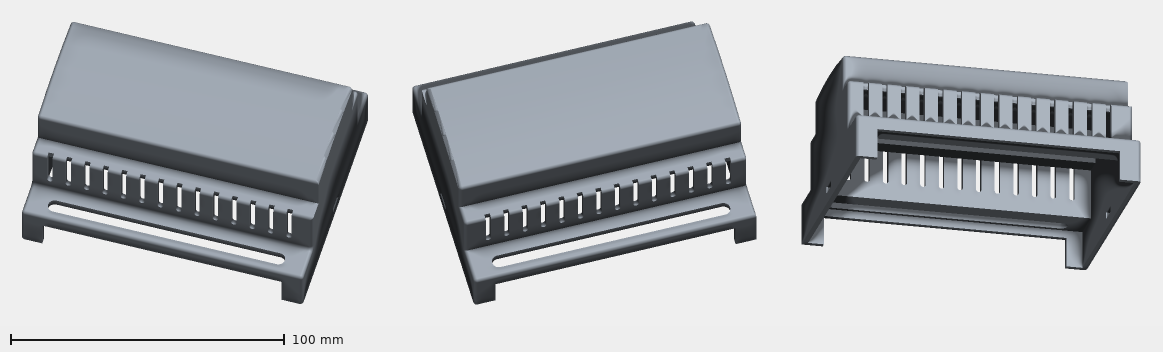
import cadquery as cq

LENGTH = 107.0
BASE_WIDTH = 87.0
MIDDLE_WIDTH = 60.0
CROWN_WIDTH = 45.3
BASE_HEIGHT = 16.6
MIDDLE_HEIGHT = 35.5
CROWN_EDGE_HEIGHT = 48.3
HEIGHT = 50.0

WALL = 2.0
ROOF = 2.5
EDGE_RADIUS = 1.3

VENT_COUNT = 14
VENT_SPAN = 91.0
VENT_FIRST_OFFSET = 7.0
VENT_WIDTH = 2.0
VENT_BOTTOM = 20.5

FOOT_SLOT_LENGTH = 90.1
FOOT_SLOT_WIDTH = 5.0
FOOT_SLOT_INSET = 6.0

NOTCH_LENGTH = 91.1
NOTCH_HEIGHT = 11.2

LATCH_WIDTH = 7.0
LATCH_HEIGHT = 2.5
LATCH_BOTTOM = 4.1

TOLERANCE = 0.01


def stepped_block(length, side_inset, top_inset):
    """Prism along X with the stepped, domed section, inset from the outer faces."""
    base = BASE_WIDTH / 2 - side_inset
    middle = MIDDLE_WIDTH / 2 - side_inset
    crown = CROWN_WIDTH / 2 - side_inset
    base_top = BASE_HEIGHT - top_inset
    middle_top = MIDDLE_HEIGHT - top_inset
    crown_edge = CROWN_EDGE_HEIGHT - top_inset
    return (
        cq.Workplane("YZ")
        .moveTo(-base, 0)
        .lineTo(-base, base_top)
        .lineTo(-middle, base_top)
        .lineTo(-middle, middle_top)
        .lineTo(-crown, middle_top)
        .lineTo(-crown, crown_edge)
        .threePointArc((0, HEIGHT - top_inset), (crown, crown_edge))
        .lineTo(crown, middle_top)
        .lineTo(middle, middle_top)
        .lineTo(middle, base_top)
        .lineTo(base, base_top)
        .lineTo(base, 0)
        .close()
        .extrude(length / 2, both=True)
    )


def is_rounded(edge):
    """Tell whether an edge of the plain outer block gets the edge radius."""
    centre = edge.Center()
    box = edge.BoundingBox()
    at_right_end = centre.x > LENGTH / 2 - TOLERANCE
    at_front = centre.y < 0
    if box.zmax < TOLERANCE:
        return False
    if box.xlen > TOLERANCE:
        on_middle_wall = abs(abs(centre.y) - MIDDLE_WIDTH / 2) < TOLERANCE
        on_crown_wall = abs(abs(centre.y) - CROWN_WIDTH / 2) < TOLERANCE
        if on_middle_wall and centre.z < BASE_HEIGHT + TOLERANCE:
            return at_front
        return not (on_crown_wall and centre.z < MIDDLE_HEIGHT + TOLERANCE)
    if centre.y > BASE_WIDTH / 2 - TOLERANCE:
        return at_right_end
    if at_right_end and at_front:
        on_ledge = (
            abs(centre.z - MIDDLE_HEIGHT) < TOLERANCE
            and centre.y < -CROWN_WIDTH / 2
        )
        on_crown_wall = abs(centre.y + CROWN_WIDTH / 2) < TOLERANCE
        return not (on_ledge or on_crown_wall)
    return True


def shell():
    outer = stepped_block(LENGTH, 0, 0)
    rounded_edges = [edge for edge in outer.edges().vals() if is_rounded(edge)]
    outer = outer.newObject(rounded_edges).fillet(EDGE_RADIUS)
    return outer.cut(stepped_block(LENGTH - 2 * WALL, WALL, ROOF))


def vents():
    """Upright slots, rounded at the bottom and open at the top of the middle step."""
    pitch = VENT_SPAN / (VENT_COUNT - 1)
    first = VENT_FIRST_OFFSET - LENGTH / 2
    radius = VENT_WIDTH / 2
    centre_z = VENT_BOTTOM + radius
    wall_centre = (MIDDLE_WIDTH - WALL) / 2
    cutters = cq.Workplane("XY")
    for index in range(VENT_COUNT):
        x = first + index * pitch
        for y in (-wall_centre, wall_centre):
            cutters = cutters.union(
                cq.Workplane("XZ", origin=(x, y, centre_z))
                .moveTo(-radius, 0)
                .threePointArc((0, -radius), (radius, 0))
                .lineTo(radius, MIDDLE_HEIGHT - centre_z)
                .lineTo(-radius, MIDDLE_HEIGHT - centre_z)
                .close()
                .extrude(WALL / 2, both=True)
            )
    return cutters


def foot_slots():
    slot_y = BASE_WIDTH / 2 - FOOT_SLOT_INSET
    return (
        cq.Workplane("XY")
        .pushPoints([(0, -slot_y), (0, slot_y)])
        .slot2D(FOOT_SLOT_LENGTH, FOOT_SLOT_WIDTH)
        .extrude(BASE_HEIGHT)
    )


def wall_notches():
    return (
        cq.Workplane("XY")
        .box(NOTCH_LENGTH, BASE_WIDTH, NOTCH_HEIGHT, centered=(True, True, False))
    )


def latch_holes():
    return (
        cq.Workplane("XY", origin=(0, 0, LATCH_BOTTOM))
        .box(LENGTH, LATCH_WIDTH, LATCH_HEIGHT, centered=(True, True, False))
    )


result = shell().cut(vents()).cut(foot_slots()).cut(wall_notches()).cut(latch_holes())